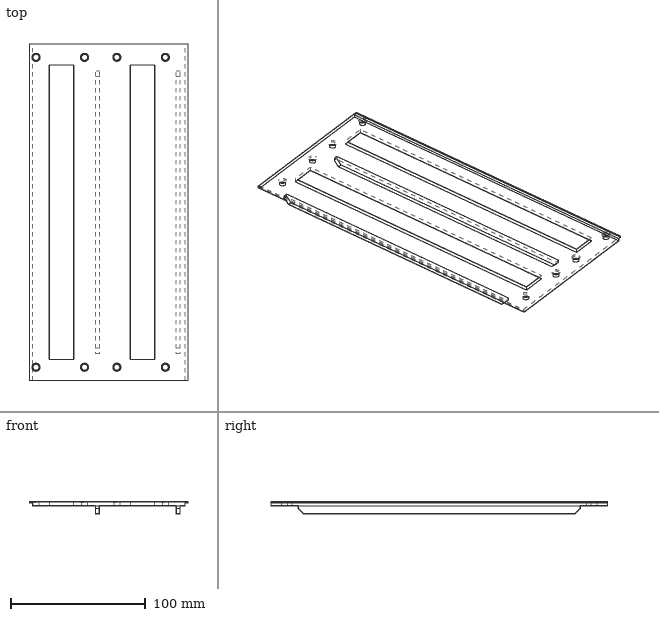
import cadquery as cq

panel_width = 118.0
panel_length = 250.0
panel_thickness = 3.0
skin_thickness = 1.0
side_rebate = 2.2

module_pitch = 60.0
module_offsets = (0.0, module_pitch)

slot_left = 15.0
slot_width = 18.0
slot_length = 218.5

hole_left = 5.0
hole_spacing = 36.0
hole_end_margin = 10.0
hole_diameter = 4.5
countersink_diameter = 6.0
countersink_angle = 90.0

rib_left = 49.0
rib_width = 3.0
rib_length = 209.5
rib_height = 6.0
rib_chamfer = 4.0

panel_bottom = -panel_thickness


def make_panel():
    skin = cq.Workplane("XY").box(
        panel_width, panel_length, skin_thickness, centered=(False, True, False)
    ).translate((0, 0, -skin_thickness))
    core = cq.Workplane("XY").box(
        panel_width - 2 * side_rebate, panel_length, panel_thickness, centered=(False, True, False)
    ).translate((side_rebate, 0, panel_bottom))
    return skin.union(core)


def make_slot(offset):
    return cq.Workplane("XY").box(
        slot_width, slot_length, panel_thickness, centered=(False, True, False)
    ).translate((slot_left + offset, 0, panel_bottom))


def make_rib(offset):
    """Stiffening rib under the panel with both lower ends bevelled."""
    rib = cq.Workplane("XY").box(
        rib_width, rib_length, rib_height, centered=(False, True, False)
    )
    rib = rib.faces("<Z").edges("|X").chamfer(rib_chamfer)
    return rib.translate((rib_left + offset, 0, panel_bottom - rib_height))


def drill_screw_holes(body):
    hole_y = panel_length / 2 - hole_end_margin
    centers = [
        (hole_left + side + offset, y)
        for offset in module_offsets
        for side in (0.0, hole_spacing)
        for y in (-hole_y, hole_y)
    ]
    return (
        body.faces(">Z").workplane(origin=(0, 0, 0))
        .pushPoints(centers)
        .cskHole(hole_diameter, countersink_diameter, countersink_angle)
    )


result = make_panel()
for module_offset in module_offsets:
    result = result.cut(make_slot(module_offset))
    result = result.union(make_rib(module_offset))
result = drill_screw_holes(result)